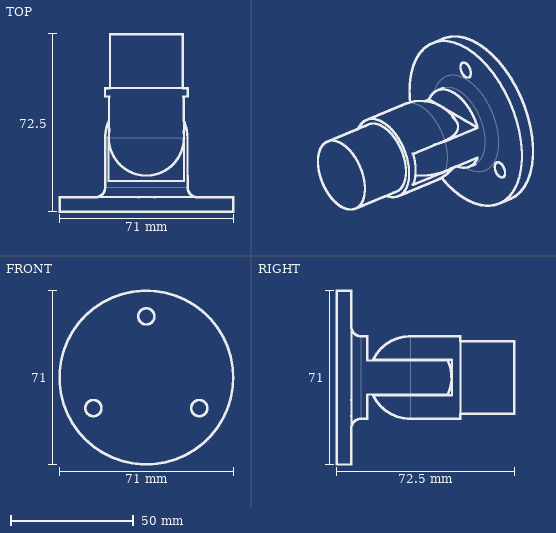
import cadquery as cq
import math

total_length = 72.5

flange_diameter = 71.0
flange_thickness = 6.0
hole_diameter = 6.5
hole_circle_radius = 24.95
hole_count = 3

joint_radius = 16.9
joint_center_y = 30.1
slot_width = 14.4
slot_end_y = 47.05

neck_end_y = 12.6
neck_fillet = 3.9
tongue_thickness = 14.0

shoulder_y = 50.5
post_radius = 14.85


def cylinder_y(radius, start_y, end_y):
    """Cylinder about the Y axis between two Y positions."""
    return cq.Workplane("XZ", origin=(0, start_y, 0)).circle(radius).extrude(start_y - end_y)


def joint_ball():
    return cq.Workplane("XY").sphere(joint_radius).translate((0, joint_center_y, 0))


def slab(thickness, start_y, end_y):
    """Plate centred on Z = 0 that spans the full joint width in X."""
    return (
        cq.Workplane("XY")
        .box(2 * joint_radius, end_y - start_y, thickness)
        .translate((0, (start_y + end_y) / 2, 0))
    )


def flange_and_neck():
    """Disc and round neck in one profile, joined by a concave fillet."""
    fillet_end_y = flange_thickness + neck_fillet
    fillet_outer_radius = joint_radius + neck_fillet
    fillet_mid = neck_fillet * (1 - math.sqrt(0.5))
    profile = (
        cq.Workplane("XY")
        .lineTo(flange_diameter / 2, 0)
        .lineTo(flange_diameter / 2, flange_thickness)
        .lineTo(fillet_outer_radius, flange_thickness)
        .threePointArc(
            (joint_radius + fillet_mid, flange_thickness + fillet_mid),
            (joint_radius, fillet_end_y),
        )
        .lineTo(joint_radius, neck_end_y)
        .lineTo(0, neck_end_y)
        .close()
    )
    return profile.revolve(360, (0, 0, 0), (0, 1, 0))


def mounting_holes():
    """Through holes on a circle, the first one on the +Z side."""
    return (
        cq.Workplane("XZ")
        .polarArray(hole_circle_radius, 90, 360, hole_count)
        .circle(hole_diameter / 2)
        .extrude(-flange_thickness)
    )


def make_base():
    """Flange with a round-ended tongue."""
    rounded_bar = cylinder_y(joint_radius, flange_thickness, joint_center_y).union(joint_ball())
    tongue_slab = slab(tongue_thickness, flange_thickness, joint_center_y + joint_radius)
    tongue = rounded_bar.intersect(tongue_slab)
    return flange_and_neck().union(tongue).cut(mounting_holes())


def make_fork():
    """Post with a domed, slotted socket that straddles the tongue."""
    socket = cylinder_y(joint_radius, joint_center_y, shoulder_y).union(joint_ball())
    slot = slab(slot_width, joint_center_y - joint_radius, slot_end_y)
    post = cylinder_y(post_radius, shoulder_y, total_length)
    return socket.cut(slot).union(post)


base = make_base()
fork = make_fork()

result = cq.Compound.makeCompound([base.solids().val(), fork.solids().val()])